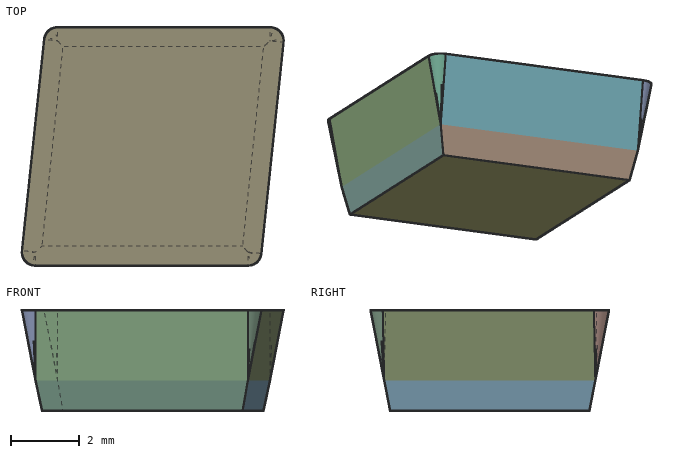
import cadquery as cq
import math

width_across_flats = 6.95
thickness = 2.93
nose_angle = 84.0
nose_radius = 0.4
relief_angle = 11.0

nose_depth = nose_radius / math.tan(math.radians(relief_angle))
split_height = thickness - nose_depth
split_width = width_across_flats - 2 * nose_radius
base_width = split_width - 2 * split_height * math.tan(math.radians(relief_angle))


def rhombus_corners(across_flats):
    """Corners of a centred rhombus with two sides parallel to X."""
    half_side = across_flats / math.sin(math.radians(nose_angle)) / 2
    half_lean = across_flats / math.tan(math.radians(nose_angle)) / 2
    half_depth = across_flats / 2
    return [
        (-half_side - half_lean, -half_depth),
        (half_side - half_lean, -half_depth),
        (half_side + half_lean, half_depth),
        (-half_side + half_lean, half_depth),
    ]


def make_lower_body():
    """Sharp-cornered frustum between the base and the split height."""
    return (
        cq.Workplane("XY")
        .polyline(rhombus_corners(base_width)).close()
        .workplane(offset=split_height)
        .polyline(rhombus_corners(split_width)).close()
        .loft(ruled=True)
    )


def make_upper_body():
    """Flared block whose corners open from points into cones at the top face."""
    return (
        cq.Workplane("XY", origin=(0, 0, split_height))
        .polyline(rhombus_corners(split_width)).close()
        .extrude(nose_depth, taper=-relief_angle)
    )


result = make_lower_body().union(make_upper_body(), clean=False)